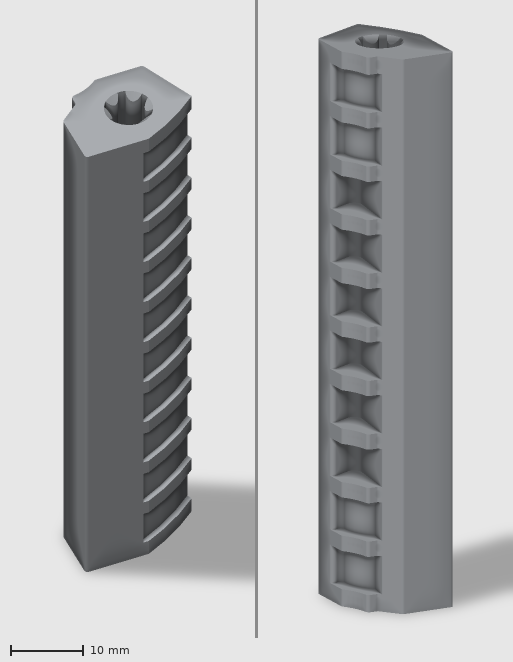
import cadquery as cq
import math

length = 80.0
left_x = -7.0
right_x = 6.7
front_y = -9.4
tip = (1.3, 9.0)
left_top_y = 5.1
back_arc_end = (right_x, 0.2)
back_arc_bulge = 0.4
edge_radius = 0.5

hollow_start = (left_x, -2.1)
hollow_end = (-5.2, -6.4)
hollow_bulge = 0.36
hollow_start_radius = 0.6
hollow_end_radius = 0.6
slope_top = (-3.6, hollow_end[1])
slope_bottom = (-1.2, front_y)
slope_top_radius = 0.3

pocket_count = 10
shallow_pockets_per_end = 2
pocket_height = 5.5
end_margin = 2.5
pitch = (length - 2 * end_margin - pocket_height) / (pocket_count - 1)

wall_slope = math.tan(math.radians(25.0))
floor_lean = math.tan(math.radians(7.0))
mouth = (left_x, 0.7)
foot_x = -3.2
mouth_radius = 0.6
floor_corner_radius = 1.1
foot_radius = 0.3
cutter_margin = 2.4

bed_start_x = -5.0
bed_end_y = -4.0
bed_bulge = 0.7
bed_start_radius = 0.6
bed_end_radius = 0.6

back_groove_depth = 0.8

socket_diameter = 6.8
socket_radius = socket_diameter / 2
socket_depth = 6.4
socket_tip_half_angle = math.radians(59.0)
lobe_count = 6
lobe_angle = 24.0
lobe_radius = 1.3
lobe_inner_radius = 2.4


def bulge_point(start, end, height):
    """Middle of an arc that stands the given height to the left of its chord."""
    dx = end[0] - start[0]
    dy = end[1] - start[1]
    chord = math.hypot(dx, dy)
    middle_x = (start[0] + end[0]) / 2 - height * dy / chord
    middle_y = (start[1] + end[1]) / 2 + height * dx / chord
    return (middle_x, middle_y)


def round_edge(body, point, radius):
    """Round the vertical edge nearest to the given XY point."""
    middle_z = body.val().BoundingBox().center.z
    nearest = cq.selectors.NearestToPointSelector((point[0], point[1], middle_z))
    return body.edges("|Z").edges(nearest).fillet(radius)


def make_bar():
    bar = (
        cq.Workplane("XY")
        .moveTo(left_x, left_top_y)
        .lineTo(*tip)
        .threePointArc(bulge_point(tip, back_arc_end, back_arc_bulge), back_arc_end)
        .lineTo(right_x, front_y)
        .lineTo(*slope_bottom)
        .lineTo(*slope_top)
        .lineTo(*hollow_end)
        .threePointArc(bulge_point(hollow_end, hollow_start, -hollow_bulge), hollow_start)
        .close()
        .extrude(length)
    )
    for corner in [(left_x, left_top_y), (right_x, front_y), slope_bottom]:
        bar = round_edge(bar, corner, edge_radius)
    bar = round_edge(bar, slope_top, slope_top_radius)
    bar = round_edge(bar, hollow_end, hollow_end_radius)
    return round_edge(bar, hollow_start, hollow_start_radius)


def wall_point(x):
    """Point of the pocket wall at the given X."""
    return (x, mouth[1] + (x - mouth[0]) * wall_slope)


def slope_point(x):
    """Point of the sloped face at the given X."""
    rate = (slope_bottom[1] - slope_top[1]) / (slope_bottom[0] - slope_top[0])
    return (x, slope_top[1] + (x - slope_top[0]) * rate)


foot = slope_point(foot_x)


def floor_point(y):
    """Point of the pocket floor at the given Y."""
    return (foot[0] + (y - foot[1]) * floor_lean, y)


def make_deep_pocket():
    wall_y_above_foot = wall_point(foot_x)[1]
    floor_rise = (wall_y_above_foot - foot[1]) / (1 - wall_slope * floor_lean)
    floor_corner = floor_point(foot[1] + floor_rise)
    slope_end = slope_point(foot_x + foot_radius)
    outer_x = left_x - cutter_margin
    mouth_top_y = mouth[1] + 2 * mouth_radius
    pocket = (
        cq.Workplane("XY")
        .moveTo(outer_x, mouth_top_y)
        .lineTo(left_x, mouth_top_y)
        .lineTo(*mouth)
        .lineTo(*floor_corner)
        .lineTo(*foot)
        .lineTo(*slope_end)
        .lineTo(outer_x, slope_end[1])
        .close()
        .extrude(pocket_height)
    )
    pocket = round_edge(pocket, floor_corner, floor_corner_radius)
    pocket = round_edge(pocket, foot, foot_radius)
    return round_edge(pocket, mouth, mouth_radius)


def make_shallow_pocket(deep_pocket):
    bed_start = wall_point(bed_start_x)
    bed_end = floor_point(bed_end_y)
    inner_x = bed_end[0] + cutter_margin
    inner_y = bed_start[1] + cutter_margin
    bed = (
        cq.Workplane("XY")
        .moveTo(*bed_start)
        .threePointArc(bulge_point(bed_start, bed_end, -bed_bulge), bed_end)
        .lineTo(inner_x, bed_end_y)
        .lineTo(inner_x, inner_y)
        .lineTo(bed_start_x, inner_y)
        .close()
        .extrude(pocket_height)
    )
    pocket = deep_pocket.cut(bed)
    pocket = round_edge(pocket, bed_start, bed_start_radius)
    return round_edge(pocket, bed_end, bed_end_radius)


def make_back_groove():
    """Cutter whose inner face runs parallel to the curved back."""
    middle = bulge_point(tip, back_arc_end, back_arc_bulge)
    outer_x = right_x + cutter_margin
    outer_y = tip[1] + cutter_margin
    return (
        cq.Workplane("XY")
        .moveTo(*tip)
        .threePointArc(middle, back_arc_end)
        .lineTo(outer_x, back_arc_end[1])
        .lineTo(outer_x, outer_y)
        .lineTo(tip[0], outer_y)
        .close()
        .offset2D(back_groove_depth)
        .extrude(pocket_height)
    )


def make_socket():
    tip_height = socket_radius / math.tan(socket_tip_half_angle)
    floor_z = length - socket_depth
    bore = (
        cq.Workplane("XZ")
        .moveTo(0, length)
        .lineTo(socket_radius, length)
        .lineTo(socket_radius, floor_z)
        .lineTo(0, floor_z - tip_height)
        .close()
        .revolve(360, (0, 0), (0, 1))
    )
    lobes = (
        cq.Workplane("XY")
        .workplane(offset=floor_z - tip_height)
        .polarArray(lobe_inner_radius + lobe_radius, lobe_angle, 360, lobe_count)
        .circle(lobe_radius)
        .extrude(socket_depth + tip_height)
    )
    entry_base = cq.Vector(0, 0, length - socket_radius)
    entry = cq.Solid.makeCone(0, socket_radius, socket_radius, entry_base)
    return bore.cut(lobes).union(cq.Workplane(entry))


result = make_bar()

deep_pocket = make_deep_pocket()
shallow_pocket = make_shallow_pocket(deep_pocket)
back_groove = make_back_groove()
for index in range(pocket_count):
    steps_from_end = min(index, pocket_count - 1 - index)
    pocket = shallow_pocket if steps_from_end < shallow_pockets_per_end else deep_pocket
    offset = (0, 0, end_margin + index * pitch)
    result = result.cut(pocket.translate(offset))
    result = result.cut(back_groove.translate(offset))

result = result.cut(make_socket())